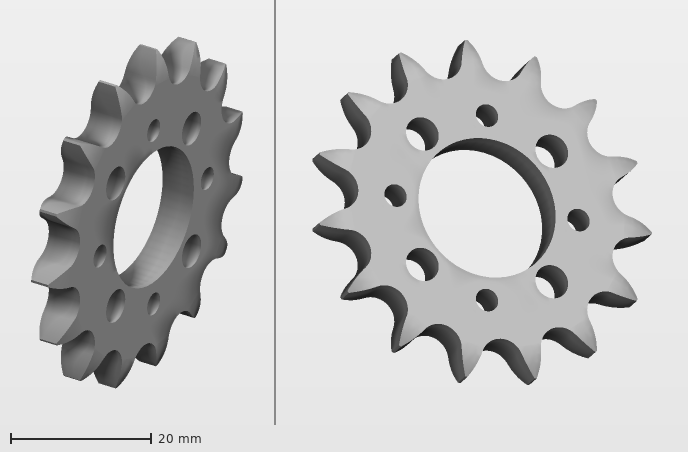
import cadquery as cq
import math


chain_pitch = 9.525
roller_diameter = 6.35
tooth_count = 15
plate_width = 5.32

bore_diameter = 21.0
bolt_circle_radius = 14.0
hole_count = 4
small_hole_diameter = 3.4
large_hole_diameter = 5.0
small_hole_start_angle = 0.0
large_hole_start_angle = 45.0

tooth_angle = 360.0 / tooth_count
first_tooth_angle = 180.0
pitch_radius = chain_pitch / (2 * math.sin(math.radians(tooth_angle / 2)))
tip_radius = pitch_radius + (1.25 * chain_pitch - roller_diameter) / 2
seat_radius = 0.505 * roller_diameter
seat_half_angle = (140.0 - 90.0 / tooth_count) / 2
flank_radius = 0.12 * roller_diameter * (tooth_count + 2)

relief_depth = 0.13 * chain_pitch
relief_radius = chain_pitch


def polar(radius, angle):
    """Point at a radius and an angle in degrees."""
    turn = math.radians(angle)
    return radius * math.cos(turn), radius * math.sin(turn)


def flank_points():
    """Start, middle and tip of the upper flank of a tooth that points along +x."""
    seat_x, seat_y = polar(pitch_radius, tooth_angle / 2)
    seat_end_angle = tooth_angle / 2 + 180.0 + seat_half_angle

    reach_x, reach_y = polar(seat_radius, seat_end_angle)
    start = (seat_x + reach_x, seat_y + reach_y)
    centre_x, centre_y = polar(seat_radius + flank_radius, seat_end_angle)
    centre_x += seat_x
    centre_y += seat_y

    centre_distance = math.hypot(centre_x, centre_y)
    cosine = (centre_distance**2 + tip_radius**2 - flank_radius**2) / (2 * centre_distance * tip_radius)
    tip_angle = math.degrees(math.atan2(centre_y, centre_x) + math.acos(cosine))
    tip = polar(tip_radius, tip_angle)

    start_angle = seat_end_angle - 180.0
    end_angle = math.degrees(math.atan2(tip[1] - centre_y, tip[0] - centre_x))
    middle_x, middle_y = polar(flank_radius, (start_angle + end_angle) / 2)
    return start, (centre_x + middle_x, centre_y + middle_y), tip


def turned(point, angle):
    """Point turned about the sprocket axis."""
    return polar(math.hypot(*point), math.degrees(math.atan2(point[1], point[0])) + angle)


def mirrored(point):
    """Point on the opposite flank of a tooth that points along +x."""
    return point[0], -point[1]


def toothed_plate():
    """Flat plate with the full tooth outline."""
    start, middle, tip = flank_points()
    root_radius = pitch_radius - seat_radius
    outline = cq.Workplane("YZ").moveTo(*turned(mirrored(start), first_tooth_angle))
    for tooth in range(tooth_count):
        angle = first_tooth_angle + tooth * tooth_angle
        next_start = turned(mirrored(start), angle + tooth_angle)
        outline = outline.threePointArc(turned(mirrored(middle), angle), turned(mirrored(tip), angle))
        outline = outline.threePointArc(polar(tip_radius, angle), turned(tip, angle))
        outline = outline.threePointArc(turned(middle, angle), turned(start, angle))
        outline = outline.threePointArc(polar(root_radius, angle + tooth_angle / 2), next_start)
    return outline.close().extrude(plate_width / 2, both=True)


def relieved_disc():
    """Disc whose rim curves in from both faces towards the tooth tips."""
    face_x = plate_width / 2
    tip_x = face_x - relief_depth
    relief_centre_x = face_x - relief_radius
    sweep = math.degrees(math.acos((tip_x - relief_centre_x) / relief_radius))
    relief_start = tip_radius - relief_radius * math.sin(math.radians(sweep))
    middle_x, middle_rise = polar(relief_radius, sweep / 2)
    middle_x += relief_centre_x
    middle_radius = relief_start + middle_rise
    section = (
        cq.Workplane("XY")
        .moveTo(-face_x, 0)
        .lineTo(face_x, 0)
        .lineTo(face_x, relief_start)
        .threePointArc((middle_x, middle_radius), (tip_x, tip_radius))
        .lineTo(-tip_x, tip_radius)
        .threePointArc((-middle_x, middle_radius), (-face_x, relief_start))
        .close()
    )
    return section.revolve(360, (0, 0, 0), (1, 0, 0))


def through_cylinders(diameter, circle_radius, start_angle, count):
    """Cylinders along X, spaced evenly on a circle, to cut through the plate."""
    return (
        cq.Workplane("YZ")
        .polarArray(circle_radius, start_angle, 360, count)
        .circle(diameter / 2)
        .extrude(plate_width, both=True)
    )


bore = cq.Workplane("YZ").circle(bore_diameter / 2).extrude(plate_width, both=True)
small_holes = through_cylinders(small_hole_diameter, bolt_circle_radius, small_hole_start_angle, hole_count)
large_holes = through_cylinders(large_hole_diameter, bolt_circle_radius, large_hole_start_angle, hole_count)

sprocket = toothed_plate().intersect(relieved_disc())
result = sprocket.cut(bore).cut(small_holes).cut(large_holes)